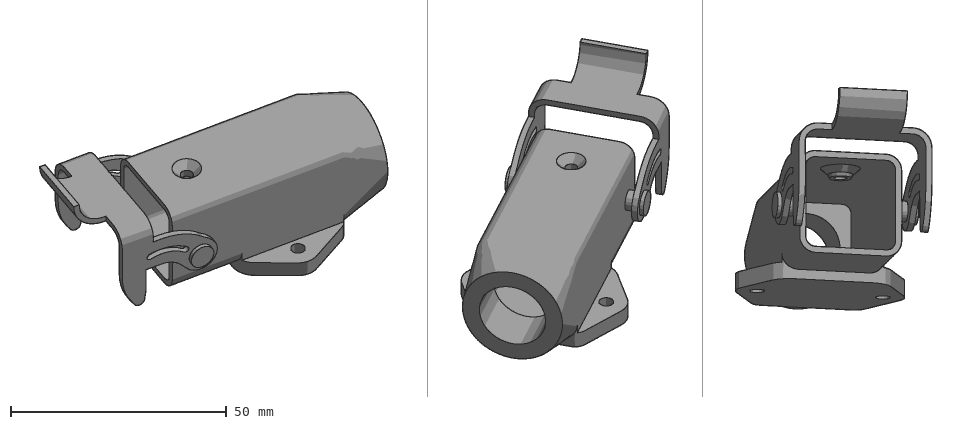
import cadquery as cq
import math


shell_width = 24.25
shell_length = 57.5
corner_radius = 3.75
wall = 1.5
taper_length = 11.4
bore_diameter = 16.0
half_width = shell_width / 2
corner_offset = half_width - corner_radius

flange_span = 40.0
flange_bottom = -14.4
flange_thickness = 4.0
flange_front = -39.7
flange_rear = -taper_length
flange_hole_diameter = 3.3
flange_tip_radius = 5.05
flange_front_radius = 6.0
flange_rear_radius = 3.3
flange_edge_angle = math.radians(60)
flange_half_span = flange_span / 2
flange_hole_x = flange_half_span - flange_tip_radius
flange_hole_y = (flange_front + flange_rear) / 2

screw_y = -46.7
screw_diameter = 3.0
countersink_diameter = 6.8
boss_top_diameter = 9.3
boss_edge_diameter = 5.9
boss_end_diameter = 5.1
boss_edge_depth = 2.9
boss_end_depth = 3.75

pivot_y = -52.0
stud_diameter = 4.8
head_diameter = 6.0
head_thickness = 1.0

sheet = 1.5
latch_width = 31.6
latch_half_width = latch_width / 2
bridge_top = 15.05
bridge_near = 12.5
bridge_far = 20.8
bend_radius = 4.55
eye_radius = 4.5
arm_top = 9.45
arm_bottom = 1.6
arm_arc_centre = 10.5
arm_outer_radius = 17.0
arm_inner_radius = 6.8
arm_arc_reach = 11.3
eye_flat_length = 1.5
slot_inner_radius = 10.0
slot_end_radius = 0.76
slot_near_angle = 38
slot_far_angle = -16
claw_inner = 14.5
claw_bend_z = -4.6
claw_bottom = -8.55
claw_tip_radius = 1.5
claw_back_top = 1.9
claw_back_radius = 16.0
tab_width = 16.0
tab_end = -81.4
tab_top = 21.7


def box(x_min, x_max, y_min, y_max, z_min, z_max):
    size = (x_max - x_min, y_max - y_min, z_max - z_min)
    return cq.Workplane("XY").box(*size, centered=False).translate((x_min, y_min, z_min))


def cylinder_x(diameter, x_min, x_max):
    """Cylinder along X on the pivot axis."""
    return (
        cq.Workplane("YZ", origin=(x_min, 0, 0))
        .center(pivot_y, 0)
        .circle(diameter / 2)
        .extrude(x_max - x_min)
    )


def cone_down(top_diameter, bottom_diameter, top_z, bottom_z):
    """Upright cone frustum on the screw axis."""
    return cq.Workplane(
        cq.Solid.makeCone(
            bottom_diameter / 2,
            top_diameter / 2,
            top_z - bottom_z,
            pnt=cq.Vector(0, screw_y, bottom_z),
        )
    )



def rounded_prism(width, radius, y_front, y_rear):
    """Square bar along Y with its four long edges rounded."""
    return (
        cq.Workplane("XZ", origin=(0, y_rear, 0))
        .rect(width, width)
        .extrude(y_rear - y_front)
        .edges("|Y")
        .fillet(radius)
    )


def corner_outline(y, offset):
    """Gap between a square corner and its rounding, whose arc is centred at (offset, offset)."""
    middle = offset + (half_width - offset) * math.cos(math.pi / 4)
    return (
        cq.Workplane("XZ", origin=(0, y, 0))
        .moveTo(half_width, offset)
        .lineTo(half_width, half_width)
        .lineTo(offset, half_width)
        .threePointArc((middle, middle), (half_width, offset))
        .close()
        .val()
    )


def tapered_rear():
    """Transition from the rounded square to a full circle at the rear face."""
    block = box(-half_width, half_width, -taper_length, 0, -half_width, half_width)
    outlines = [corner_outline(-taper_length, corner_offset), corner_outline(0, 0)]
    corner = cq.Solid.makeLoft(outlines, True)
    for turn in range(4):
        block = block.cut(cq.Workplane(corner.rotate((0, 0, 0), (0, 1, 0), 90 * turn)))
    return block


def flange_outline():
    """Hexagonal plate outline with rounded side tips and rounded front and rear corners."""
    sine = math.sin(flange_edge_angle)
    cosine = math.cos(flange_edge_angle)
    tip_x = flange_hole_x + flange_tip_radius * sine
    tip_rise = flange_tip_radius * cosine

    def corner(y_flat, radius):
        """End of the flat, arc middle and end of the arc where the slanted edge begins."""
        side = math.copysign(1, y_flat - flange_hole_y)
        centre_y = y_flat - side * radius
        arc_y = centre_y + side * radius * cosine
        run = (abs(arc_y - flange_hole_y) - tip_rise) / math.tan(flange_edge_angle)
        arc_x = tip_x - run
        centre_x = arc_x - radius * sine
        half = flange_edge_angle / 2
        middle = (centre_x + radius * math.sin(half), centre_y + side * radius * math.cos(half))
        return (centre_x, y_flat), middle, (arc_x, arc_y)

    front_flat, front_middle, front_edge = corner(flange_front, flange_front_radius)
    rear_flat, rear_middle, rear_edge = corner(flange_rear, flange_rear_radius)

    def mirrored(point):
        return (-point[0], point[1])

    tip = (flange_half_span, flange_hole_y)
    tip_front = (tip_x, flange_hole_y - tip_rise)
    tip_rear = (tip_x, flange_hole_y + tip_rise)
    return (
        cq.Workplane("XY", origin=(0, 0, flange_bottom))
        .moveTo(*mirrored(front_flat))
        .lineTo(*front_flat)
        .threePointArc(front_middle, front_edge)
        .lineTo(*tip_front)
        .threePointArc(tip, tip_rear)
        .lineTo(*rear_edge)
        .threePointArc(rear_middle, rear_flat)
        .lineTo(*mirrored(rear_flat))
        .threePointArc(mirrored(rear_middle), mirrored(rear_edge))
        .lineTo(*mirrored(tip_rear))
        .threePointArc(mirrored(tip), mirrored(tip_front))
        .lineTo(*mirrored(front_edge))
        .threePointArc(mirrored(front_middle), mirrored(front_flat))
        .close()
    )


def flange():
    """Mounting plate, with a shell-wide pedestal that squares off the shell's lower corners."""
    plate = (
        flange_outline()
        .extrude(flange_thickness)
        .faces(">Z")
        .workplane(origin=(0, flange_hole_y, 0))
        .pushPoints([(-flange_hole_x, 0), (flange_hole_x, 0)])
        .hole(flange_hole_diameter)
    )
    shell_strip = box(-half_width, half_width, flange_front, flange_rear, flange_bottom, -corner_offset)
    pedestal = flange_outline().extrude(-corner_offset - flange_bottom).intersect(shell_strip)
    return plate.union(pedestal)


def screw_boss():
    """Two stacked cone frustums that hang from the roof around the screw hole."""
    edge_z = half_width - boss_edge_depth
    upper = cone_down(boss_top_diameter, boss_edge_diameter, half_width - wall, edge_z)
    lower = cone_down(boss_edge_diameter, boss_end_diameter, edge_z, half_width - boss_end_depth)
    return upper.union(lower)


def screw_hole():
    """Countersunk through hole in the roof and boss; the countersink is a 90 degree cone."""
    sink_depth = (countersink_diameter - screw_diameter) / 2
    sink = cone_down(countersink_diameter, screw_diameter, half_width, half_width - sink_depth)
    drill = (
        cq.Workplane("XY", origin=(0, screw_y, half_width))
        .circle(screw_diameter / 2)
        .extrude(-boss_end_depth)
    )
    return sink.union(drill)


def stud(side):
    """Pivot stud with a flat head outside the latch, on the side given by the sign."""
    shank = cylinder_x(stud_diameter, half_width, latch_half_width)
    head = cylinder_x(head_diameter, latch_half_width, latch_half_width + head_thickness)
    whole = shank.union(head)
    return whole if side > 0 else whole.mirror("YZ")


def make_housing():
    body = rounded_prism(shell_width, corner_radius, -shell_length, -taper_length)
    body = body.union(tapered_rear()).union(flange())
    cavity = rounded_prism(
        shell_width - 2 * wall, corner_radius - wall, -shell_length, -taper_length
    )
    bore = cq.Workplane("XZ").circle(bore_diameter / 2).extrude(taper_length)
    body = body.cut(cavity).cut(bore)
    body = body.union(screw_boss()).cut(screw_hole())
    for side in (-1, 1):
        body = body.union(stud(side))
    return body



def side_sketch():
    """Plane at the -X face of the latch: local x runs forward (-Y) from the pivot, local y up."""
    return cq.Workplane(
        cq.Plane(origin=(-latch_half_width, pivot_y, 0), xDir=(0, -1, 0), normal=(-1, 0, 0))
    )


def arm_profile():
    """Side outline of the latch: eye, curved arm, bridge flank and claw."""
    diagonal = math.sqrt(0.5)
    eye = eye_radius * diagonal
    flat = eye_flat_length * diagonal

    outer_centre_z = arm_top - arm_outer_radius
    outer_start_x = arm_arc_centre - arm_arc_reach
    outer_start_z = outer_centre_z + math.sqrt(arm_outer_radius**2 - arm_arc_reach**2)
    outer_half = math.asin(arm_arc_reach / arm_outer_radius) / 2
    outer_middle = (
        arm_arc_centre - arm_outer_radius * math.sin(outer_half),
        outer_centre_z + arm_outer_radius * math.cos(outer_half),
    )

    inner_centre_z = arm_bottom - arm_inner_radius
    inner_end = (
        arm_arc_centre - arm_inner_radius * diagonal,
        inner_centre_z + arm_inner_radius * diagonal,
    )
    inner_middle = (
        arm_arc_centre - arm_inner_radius * math.sin(math.pi / 8),
        inner_centre_z + arm_inner_radius * math.cos(math.pi / 8),
    )

    tip_z = claw_bottom + claw_tip_radius
    back_centre_x = bridge_far - claw_back_radius
    back_angle = math.asin((claw_back_top - tip_z) / (claw_back_radius - claw_tip_radius))
    tip_x = back_centre_x + (claw_back_radius - claw_tip_radius) * math.cos(back_angle)

    def on_back(angle):
        return (
            back_centre_x + claw_back_radius * math.cos(angle),
            claw_back_top - claw_back_radius * math.sin(angle),
        )

    return (
        side_sketch()
        .moveTo(-eye, eye)
        .lineTo(-eye + flat, eye + flat)
        .lineTo(outer_start_x, outer_start_z)
        .threePointArc(outer_middle, (arm_arc_centre, arm_top))
        .lineTo(bridge_near, arm_top)
        .lineTo(bridge_near, bridge_top)
        .lineTo(bridge_far, bridge_top)
        .lineTo(bridge_far, claw_back_top)
        .threePointArc(on_back(back_angle / 2), on_back(back_angle))
        .threePointArc((tip_x, claw_bottom), (tip_x - claw_tip_radius, tip_z))
        .lineTo(claw_inner, claw_bend_z)
        .lineTo(claw_inner, arm_bottom)
        .lineTo(arm_arc_centre, arm_bottom)
        .threePointArc(inner_middle, inner_end)
        .lineTo(eye, -eye)
        .threePointArc((-eye, -eye), (-eye, eye))
        .close()
    )


def arm_slot():
    """Curved slot through both arms, concentric with the inner edge of the arm."""
    centre_z = arm_bottom - arm_inner_radius
    middle_radius = slot_inner_radius + slot_end_radius
    outer_radius = middle_radius + slot_end_radius

    def at(radius, degrees, along=0):
        """Point at an angle from vertical toward the pivot, moved on along the slot."""
        angle = math.radians(degrees)
        return (
            arm_arc_centre - radius * math.sin(angle) - along * math.cos(angle),
            centre_z + radius * math.cos(angle) - along * math.sin(angle),
        )

    mean_angle = (slot_near_angle + slot_far_angle) / 2
    near_end = at(middle_radius, slot_near_angle, slot_end_radius)
    far_end = at(middle_radius, slot_far_angle, -slot_end_radius)
    return (
        side_sketch()
        .moveTo(*at(slot_inner_radius, slot_near_angle))
        .threePointArc(near_end, at(outer_radius, slot_near_angle))
        .threePointArc(at(outer_radius, mean_angle), at(outer_radius, slot_far_angle))
        .threePointArc(far_end, at(slot_inner_radius, slot_far_angle))
        .threePointArc(at(slot_inner_radius, mean_angle), at(slot_inner_radius, slot_near_angle))
        .close()
        .extrude(-latch_width)
    )


def latch_channel():
    """Bent sheet: two upright sides and a bridge, long enough to cover the whole arm."""
    y_min = pivot_y - bridge_far
    y_max = pivot_y + eye_radius
    outer = box(-latch_half_width, latch_half_width, y_min, y_max, claw_bottom, bridge_top)
    outer = outer.edges("|Y and >Z").fillet(bend_radius)
    inner_half = latch_half_width - sheet
    inner = box(-inner_half, inner_half, y_min, y_max, claw_bottom, bridge_top - sheet)
    inner = inner.edges("|Y and >Z").fillet(bend_radius - sheet)
    return outer.cut(inner)


def thumb_tab():
    """Strip that leaves the bridge level and curls up to vertical."""
    start = pivot_y - bridge_far
    bottom = bridge_top - sheet
    outer_radius = tab_top - bottom
    inner_radius = outer_radius - sheet
    centre_y = tab_end + outer_radius
    diagonal = math.sqrt(0.5)
    return (
        cq.Workplane("YZ", origin=(-tab_width / 2, 0, 0))
        .moveTo(start, bottom)
        .lineTo(centre_y, bottom)
        .threePointArc(
            (centre_y - outer_radius * diagonal, tab_top - outer_radius * diagonal),
            (tab_end, tab_top),
        )
        .lineTo(tab_end + sheet, tab_top)
        .threePointArc(
            (centre_y - inner_radius * diagonal, tab_top - inner_radius * diagonal),
            (centre_y, bridge_top),
        )
        .lineTo(start, bridge_top)
        .close()
        .extrude(tab_width)
    )


def make_latch():
    body = latch_channel().intersect(arm_profile().extrude(-latch_width))
    body = body.cut(arm_slot())
    body = body.cut(cylinder_x(stud_diameter, -latch_half_width, latch_half_width))
    return body.union(thumb_tab())


housing = make_housing()
latch = make_latch()

result = cq.Compound.makeCompound([housing.solids().val(), latch.solids().val()])